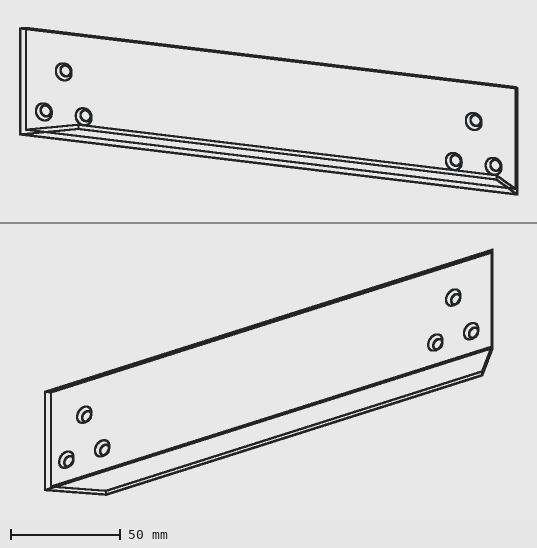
import cadquery as cq

length = 250.0
height = 50.0
depth = 20.0
thickness = 2.0

front_diameter = 8.0
back_diameter = 5.0
group_center = 103.0
hole_spacing = 20.0
lower_hole_z = 12.0
upper_hole_z = lower_hole_z + hole_spacing


def mitred_block():
    """Solid block whose ends slope inward at 45 degrees from the front face on Y = 0."""
    half_front = length / 2
    half_back = half_front - depth
    outline = [
        (-half_front, 0),
        (half_front, 0),
        (half_back, depth),
        (-half_back, depth),
    ]
    return cq.Workplane("XY").polyline(outline).close().extrude(height)


def inner_space():
    """Space behind the upright plate and above the bottom flange."""
    return (
        cq.Workplane("XY")
        .box(length, depth, height, centered=(True, False, False))
        .translate((0, thickness, thickness))
    )


def hole_positions():
    """X and Z of every hole, mirrored about the middle of the plate."""
    positions = []
    for side in (-1, 1):
        center = side * group_center
        positions.append((center, upper_hole_z))
        positions.append((center - hole_spacing / 2, lower_hole_z))
        positions.append((center + hole_spacing / 2, lower_hole_z))
    return positions


def screw_hole(x, z):
    """Cone to cut at (x, z), widest on the front face."""
    return cq.Solid.makeCone(
        front_diameter / 2,
        back_diameter / 2,
        thickness,
        pnt=cq.Vector(x, 0, z),
        dir=cq.Vector(0, 1, 0),
    )


result = mitred_block().cut(inner_space())
for hole_x, hole_z in hole_positions():
    result = result.cut(cq.Workplane(screw_hole(hole_x, hole_z)))